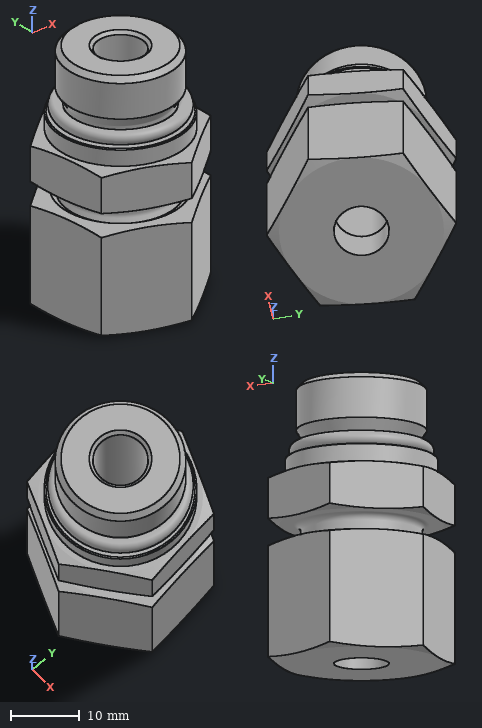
import cadquery as cq
import math

total_length = 41.5

hex_across_flats = 24.0
hex_turn = 7.5
hex_bevel_angle = 15.0
hex_bevel_margin = 0.4
hex_corner_diameter = hex_across_flats / math.cos(math.radians(30))

nut_height = 17.5
nut_floor = 6.0
nut_thread_diameter = 18.4
nut_mouth_diameter = 20.65
nut_mouth_angle = 60.0

shank_diameter = 20.0
undercut_diameter = 17.7
undercut_radius = 1.0
undercut_bottom = 18.18
undercut_run_out_angle = 30.0
hex_bottom = 20.6
hex_top = 27.6
collar_diameter = 22.2
collar_top = 30.45
collar_bevel_width = 0.25
collar_bevel_height = 0.12
groove_diameter = 16.75
groove_top = 32.75
groove_radius = 0.4
groove_run_out_angle = 33.0
spigot_diameter = 19.05
spigot_chamfer = 0.87

bore_diameter = 8.0
bore_chamfer = 0.55

seal_thickness = 2.2


def revolve_profile(profile):
    """Full turn of a closed XZ profile about the Z axis."""
    return profile.close().revolve(360, (0, 0), (0, 1))


def bevelled_hexagon(bottom, top):
    """Hexagonal prism with its corners bevelled at both ends."""
    prism = (
        cq.Workplane("XY")
        .workplane(offset=bottom)
        .polygon(6, hex_corner_diameter)
        .extrude(top - bottom)
        .rotate((0, 0, 0), (0, 0, 1), 30 + hex_turn)
    )
    flat_radius = hex_across_flats / 2
    outer_radius = hex_corner_diameter / 2 + hex_bevel_margin
    drop = (outer_radius - flat_radius) * math.tan(math.radians(hex_bevel_angle))
    bevel_envelope = revolve_profile(
        cq.Workplane("XZ")
        .moveTo(0, bottom)
        .lineTo(flat_radius, bottom)
        .lineTo(outer_radius, bottom + drop)
        .lineTo(outer_radius, top - drop)
        .lineTo(flat_radius, top)
        .lineTo(0, top)
    )
    return prism.intersect(bevel_envelope)


def arc_offset(radius, angle):
    """Radial and axial distance along an arc that leaves a straight wall and turns outward."""
    turn = math.radians(angle)
    return radius * (1 - math.cos(turn)), radius * math.sin(turn)


def run_out(wall_diameter, wall_end, radius, angle, outer_diameter, direction):
    """Arc middle, arc end and cone end between a straight wall and a larger diameter.

    direction is +1 for a run-out above the wall and -1 for one below it.
    """
    points = []
    for turn in (angle / 2, angle):
        outward, along = arc_offset(radius, turn)
        points.append((wall_diameter / 2 + outward, wall_end + direction * along))
    arc_end_radius, arc_end_height = points[-1]
    cone_length = (outer_diameter / 2 - arc_end_radius) / math.tan(math.radians(angle))
    points.append((outer_diameter / 2, arc_end_height + direction * cone_length))
    return points


def make_stud():
    """Turned stud: shank in the nut, undercut, hexagon, collar, seal groove and spigot."""
    undercut_wall = undercut_diameter / 2
    collar_edge = collar_diameter / 2
    spigot_edge = spigot_diameter / 2
    undercut_arc_middle, undercut_arc_end, undercut_cone_end = run_out(
        undercut_diameter, undercut_bottom, undercut_radius, undercut_run_out_angle, shank_diameter, -1
    )
    groove_arc_middle, groove_arc_end, groove_cone_end = run_out(
        groove_diameter, groove_top, groove_radius, groove_run_out_angle, spigot_diameter, 1
    )
    fillet_start = hex_bottom - undercut_radius
    fillet_outward, fillet_along = arc_offset(undercut_radius, 45)

    turned = revolve_profile(
        cq.Workplane("XZ")
        .moveTo(0, nut_floor)
        .lineTo(shank_diameter / 2, nut_floor)
        .lineTo(*undercut_cone_end)
        .lineTo(*undercut_arc_end)
        .threePointArc(undercut_arc_middle, (undercut_wall, undercut_bottom))
        .lineTo(undercut_wall, fillet_start)
        .threePointArc(
            (undercut_wall + fillet_outward, fillet_start + fillet_along),
            (undercut_wall + undercut_radius, hex_bottom),
        )
        .lineTo(undercut_wall + undercut_radius, hex_top)
        .lineTo(collar_edge, hex_top)
        .lineTo(collar_edge, collar_top - collar_bevel_height)
        .lineTo(collar_edge - collar_bevel_width, collar_top)
        .lineTo(groove_diameter / 2, collar_top)
        .lineTo(groove_diameter / 2, groove_top)
        .threePointArc(groove_arc_middle, groove_arc_end)
        .lineTo(*groove_cone_end)
        .lineTo(spigot_edge, total_length - spigot_chamfer)
        .lineTo(spigot_edge - spigot_chamfer, total_length)
        .lineTo(0, total_length)
    )
    bore_edge = bore_diameter / 2
    bore = revolve_profile(
        cq.Workplane("XZ")
        .moveTo(0, nut_floor)
        .lineTo(bore_edge, nut_floor)
        .lineTo(bore_edge, total_length - bore_chamfer)
        .lineTo(bore_edge + bore_chamfer, total_length)
        .lineTo(0, total_length)
    )
    return turned.union(bevelled_hexagon(hex_bottom, hex_top)).cut(bore)


def make_nut(stud):
    """Hexagonal nut with a countersunk recess that fits the shank, and the bore through its floor."""
    bore_edge = bore_diameter / 2
    thread_edge = nut_thread_diameter / 2
    mouth_edge = nut_mouth_diameter / 2
    countersink_depth = (mouth_edge - thread_edge) / math.tan(math.radians(nut_mouth_angle))
    opening = revolve_profile(
        cq.Workplane("XZ")
        .lineTo(bore_edge, 0)
        .lineTo(bore_edge, nut_floor)
        .lineTo(thread_edge, nut_floor)
        .lineTo(thread_edge, nut_height - countersink_depth)
        .lineTo(mouth_edge, nut_height)
        .lineTo(0, nut_height)
    )
    return bevelled_hexagon(0, nut_height).cut(opening).cut(stud)


def make_seal_ring():
    """Round-section ring seated in the groove."""
    section_radius = seal_thickness / 2
    ring_radius = groove_diameter / 2 + section_radius
    ring = cq.Solid.makeTorus(ring_radius, section_radius)
    return cq.Workplane(ring.translate(cq.Vector(0, 0, collar_top + section_radius)))


stud = make_stud()
nut = make_nut(stud)
seal_ring = make_seal_ring()

result = cq.Compound.makeCompound([stud.solids().val(), nut.solids().val(), seal_ring.val()])